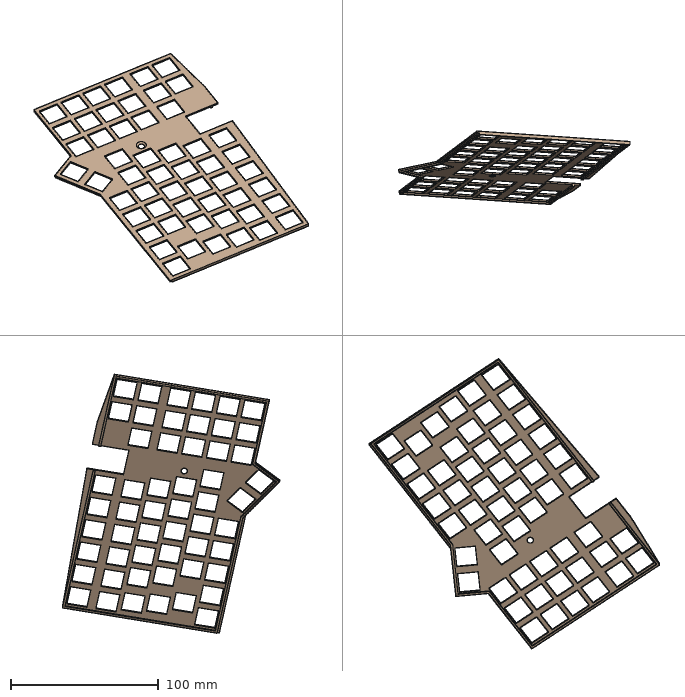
import cadquery as cq
import math

plate_length = 187.0
overall_thickness = 2.2
plate_thickness = 1.2
overall_height = 130.3
border = 1.0
cutout_size = 13.8

left_columns = 3
right_columns = 6
row_count = 6
block_gap = 23.0
column_pitch = (plate_length - 2 * border - block_gap) / (left_columns + right_columns)
row_pitch = 17.0
row_gap = 3.0

side_height = 2 * border + row_count * row_pitch + row_gap
peak_rise = 4.3
peak_height = side_height + peak_rise
left_peak_x = 39.0
notch_left = 56.7
notch_right = 76.3
notch_depth = 25.2
right_bottom = -1.3

thumb_angle = 30.0
thumb_tip_x = 61.3
thumb_tip_y = peak_height - overall_height
thumb_side_margin = 9.5
thumb_bottom_margin = 10.0
thumb_key_count = 2
thumb_pitch = 19.0

screw_x = 65.6
screw_y = 46.2
screw_diameter = 4.1
countersink_diameter = 6.7

lip_height = overall_thickness - plate_thickness
lip_width = 1.5
lip_setback = 0.28


def thumb_corner(setback, left_y, right_y):
    """Cluster corner moved inwards, from its start at left_y through the tip to right_y."""
    angle = math.radians(thumb_angle)
    tip_x = thumb_tip_x + setback * (math.cos(angle) - math.sin(angle))
    tip_y = thumb_tip_y + setback * (math.cos(angle) + math.sin(angle))
    slope = math.tan(angle)
    return [
        (tip_x - (left_y - tip_y) * slope, left_y),
        (tip_x, tip_y),
        (tip_x + (right_y - tip_y) / slope, right_y),
    ]


def plate_blank():
    outline = [
        (0, 0),
        *thumb_corner(0, 0, right_bottom),
        (plate_length, right_bottom),
        (plate_length, side_height),
        (notch_right, peak_height),
        (notch_left, peak_height),
        (left_peak_x, peak_height),
        (0, side_height),
    ]
    plate = cq.Workplane("XY").workplane(offset=lip_height)
    return plate.polyline(outline).close().extrude(plate_thickness)


def rim_lip():
    outline = [
        (0, lip_setback),
        *thumb_corner(lip_setback, lip_setback, lip_setback),
        (plate_length, lip_setback),
        (plate_length, side_height),
        (0, side_height),
    ]
    outer = cq.Workplane("XY").polyline(outline).close().extrude(lip_height)
    inner = cq.Workplane("XY").polyline(outline).close().offset2D(-lip_width, "intersection")
    return outer.cut(inner.extrude(lip_height))


def notch_cutter():
    return cq.Workplane("XY").box(
        notch_right - notch_left, notch_depth, overall_thickness, centered=False
    ).translate((notch_left, peak_height - notch_depth, 0))


def key_run(first_x, y, count):
    """Centers of adjacent keys one column pitch apart."""
    return [(first_x + i * column_pitch, y) for i in range(count)]


def row_y(row):
    """Center height of a row, counted upwards from the bottom row."""
    return border + (row + 0.5) * row_pitch


def left_key_centers():
    first_x = border + column_pitch / 2
    top_row = row_count - 1
    centers = []
    for row in range(top_row):
        gap = row_gap if row >= top_row - 1 else 0
        centers += key_run(first_x, row_y(row) + gap, left_columns)
    centers += key_run(first_x, row_y(top_row) + row_gap, left_columns - 1)
    return centers


def right_key_centers():
    block_right = plate_length - border
    first_x = block_right - (right_columns - 0.5) * column_pitch
    centers = key_run(first_x + column_pitch, row_y(0), right_columns - 1)
    for row, stagger, wide_key in [(1, 1.0, 2.0), (2, 0.5, 1.5), (3, 0.25, 1.25)]:
        centers += key_run(first_x - stagger * column_pitch, row_y(row), right_columns - 1)
        centers.append((block_right - wide_key * column_pitch / 2, row_y(row)))
    top_row = row_count - 1
    centers += key_run(first_x, row_y(top_row - 1), right_columns)
    centers += key_run(first_x, row_y(top_row) + row_gap, right_columns)
    return centers


def key_cutters():
    return (
        cq.Workplane("XY")
        .pushPoints(left_key_centers() + right_key_centers())
        .rect(cutout_size, cutout_size)
        .extrude(overall_thickness)
    )


def thumb_cutters():
    centers = [
        (thumb_side_margin + i * thumb_pitch, thumb_bottom_margin)
        for i in range(thumb_key_count)
    ]
    return (
        cq.Workplane("XY")
        .pushPoints(centers)
        .rect(cutout_size, cutout_size)
        .extrude(overall_thickness)
        .rotate((0, 0, 0), (0, 0, 1), thumb_angle)
        .translate((thumb_tip_x, thumb_tip_y, 0))
    )


def screw_cutter():
    cone = cq.Solid.makeCone(screw_diameter / 2, countersink_diameter / 2, plate_thickness)
    return cq.Workplane(cone.translate(cq.Vector(screw_x, screw_y, lip_height)))


result = plate_blank().union(rim_lip())
result = result.cut(notch_cutter())
result = result.cut(key_cutters()).cut(thumb_cutters())
result = result.cut(screw_cutter())